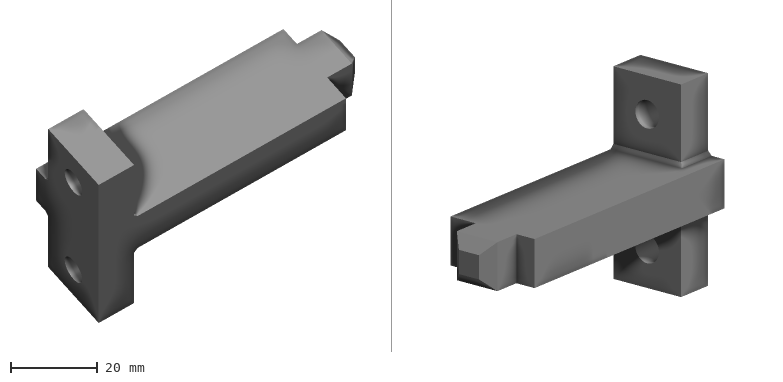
import cadquery as cq

total_width = 24.8
total_length = 80.0
total_height = 52.0
bar_height = 12.0
flange_width = 20.0
flange_thickness = 10.0
corner_chamfer = 1.0
tongue_width = 12.0
tongue_length = 10.0
tongue_offset = 5.4
tip_chamfer = 3.0
hole_diameter = 7.0
hole_spacing = 33.0

flange_left = total_width - flange_width
hole_x = flange_left + flange_width / 2
bar_length = total_length - tongue_length


def box_from(x, y, width, length, height):
    """Box with its left front edge at (x, y), centred on mid-height."""
    return cq.Workplane("XY").box(width, length, height, centered=(False, False, True)).translate((x, y, 0))


def corner_wedge():
    """Sloped filler in the corner between the bar's top and the flange's left and back faces."""
    base_width = flange_width + corner_chamfer
    base_length = flange_thickness + corner_chamfer
    return (
        cq.Workplane("XY", origin=(flange_left - corner_chamfer, 0, bar_height / 2))
        .rect(base_width, base_length, centered=False)
        .workplane(offset=corner_chamfer)
        .moveTo(corner_chamfer, 0)
        .rect(flange_width, flange_thickness, centered=False)
        .loft(ruled=True)
    )


def tongue():
    """Square tongue at the far end of the bar, with its tip chamfered on all four sides."""
    block = box_from(tongue_offset, bar_length, tongue_width, tongue_length, bar_height)
    return block.faces(">Y").chamfer(tip_chamfer)


def hole(z):
    """Cutter for a mounting hole through the flange."""
    return (
        cq.Workplane("XZ", origin=(hole_x, 0, z))
        .circle(hole_diameter / 2)
        .extrude(-flange_thickness)
    )


bar = box_from(0, 0, total_width, bar_length, bar_height)
flange = box_from(flange_left, 0, flange_width, flange_thickness, total_height)
upper_wedge = corner_wedge()
lower_wedge = upper_wedge.mirror("XY")

result = bar.union(flange).union(upper_wedge).union(lower_wedge).union(tongue())
for side in (-1, 1):
    result = result.cut(hole(side * hole_spacing / 2))
result = result.clean()